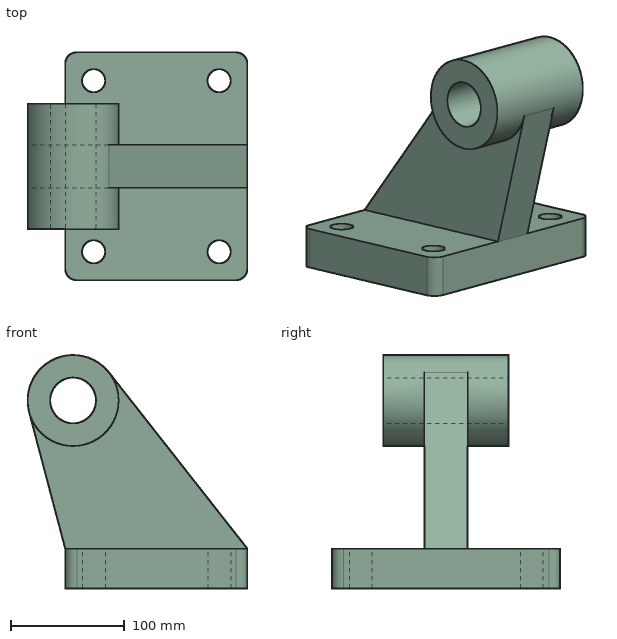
import cadquery as cq
import math

base_length = 160.0
base_width = 200.0
base_thickness = 35.0
corner_radius = 10.0

hole_diameter = 20.0
hole_edge_distance = 25.0
hole_spacing_x = 110.0
hole_spacing_y = base_width - 2 * hole_edge_distance

overall_height = 205.0
barrel_radius = 40.0
bore_diameter = barrel_radius
barrel_length = 110.0
barrel_x = 7.0
barrel_z = overall_height - barrel_radius

web_thickness = 38.0


def tangent_point(x, z, side):
    """Point where a line from (x, z) below touches the barrel; side is -1 for left, +1 for right."""
    dx = x - barrel_x
    dz = z - barrel_z
    distance = math.hypot(dx, dz)
    angle = math.atan2(dz, dx) + side * math.acos(barrel_radius / distance)
    return (
        barrel_x + barrel_radius * math.cos(angle),
        barrel_z + barrel_radius * math.sin(angle),
    )


def cylinder_along_y(radius):
    return (
        cq.Workplane("XZ")
        .center(barrel_x, barrel_z)
        .circle(radius)
        .extrude(barrel_length / 2, both=True)
    )


def make_base():
    plate = (
        cq.Workplane("XY")
        .box(base_length, base_width, base_thickness, centered=(False, True, False))
        .edges("|Z")
        .fillet(corner_radius)
    )
    return (
        plate.faces(">Z")
        .workplane(origin=(hole_edge_distance + hole_spacing_x / 2, 0, base_thickness))
        .rarray(hole_spacing_x, hole_spacing_y, 2, 2)
        .hole(hole_diameter)
    )


def make_web():
    """Web with sloping sides tangent to the barrel, closed through the barrel axis."""
    return (
        cq.Workplane("XZ")
        .moveTo(0, base_thickness)
        .lineTo(base_length, base_thickness)
        .lineTo(*tangent_point(base_length, base_thickness, 1))
        .lineTo(barrel_x, barrel_z)
        .lineTo(*tangent_point(0, base_thickness, -1))
        .close()
        .extrude(web_thickness / 2, both=True)
    )


barrel = cylinder_along_y(barrel_radius)
bore = cylinder_along_y(bore_diameter / 2)

result = make_base().union(make_web()).union(barrel).cut(bore)